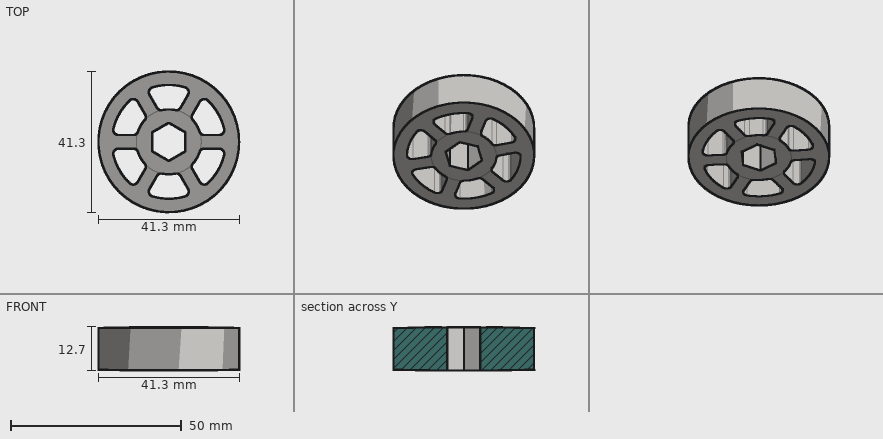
import cadquery as cq
import math

wheel_diameter = 41.25
hub_height = 12.7
face_drop = 0.215
hub_diameter = 19.05
hex_across_flats = 9.6
hex_rotation = 30
spoke_count = 6
spoke_width = 4.05
window_outer_radius = 16.65
window_outer_fillet = 1.5
window_inner_fillet = 1.3

wheel_radius = wheel_diameter / 2
hub_radius = hub_diameter / 2
half_hub_height = hub_height / 2
half_edge_height = half_hub_height - face_drop
hex_circumdiameter = hex_across_flats / math.cos(math.pi / 6)
spoke_pitch = 360 / spoke_count


def wheel_blank():
    """Disc with flat hub faces and shallow cones sloping from the hub down to the edge."""
    return (
        cq.Workplane("XZ")
        .moveTo(0, -half_hub_height)
        .lineTo(hub_radius, -half_hub_height)
        .lineTo(wheel_radius, -half_edge_height)
        .lineTo(wheel_radius, half_edge_height)
        .lineTo(hub_radius, half_hub_height)
        .lineTo(0, half_hub_height)
        .close()
        .revolve(360, (0, 0, 0), (0, 1, 0))
    )


def through_cutter(outline):
    """Prism through the full thickness, from an outline drawn on the lower hub plane."""
    return outline.extrude(hub_height)


def hex_bore():
    """Hexagonal shaft bore with two corners on the Y axis."""
    outline = (
        cq.Workplane("XY", origin=(0, 0, -half_hub_height))
        .transformed(rotate=(0, 0, hex_rotation))
        .polygon(6, hex_circumdiameter)
    )
    return through_cutter(outline)


def window():
    """Rounded opening centred on +X, between two neighbouring spokes."""
    half_pitch = math.radians(spoke_pitch / 2)

    def corner(radius):
        angle = half_pitch - math.asin(spoke_width / 2 / radius)
        return radius * math.cos(angle), radius * math.sin(angle)

    inner_x, inner_y = corner(hub_radius)
    outer_x, outer_y = corner(window_outer_radius)
    outline = (
        cq.Workplane("XY", origin=(0, 0, -half_hub_height))
        .moveTo(inner_x, -inner_y)
        .lineTo(outer_x, -outer_y)
        .threePointArc((window_outer_radius, 0), (outer_x, outer_y))
        .lineTo(inner_x, inner_y)
        .threePointArc((hub_radius, 0), (inner_x, -inner_y))
        .close()
    )
    sharp = through_cutter(outline)
    rounded_outside = sharp.edges("|Z").edges(">X").fillet(window_outer_fillet)
    return rounded_outside.edges("|Z").edges("<X").fillet(window_inner_fillet)


result = wheel_blank().cut(hex_bore())
for index in range(spoke_count):
    angle = (index + 0.5) * spoke_pitch
    result = result.cut(window().rotate((0, 0, 0), (0, 0, 1), angle))